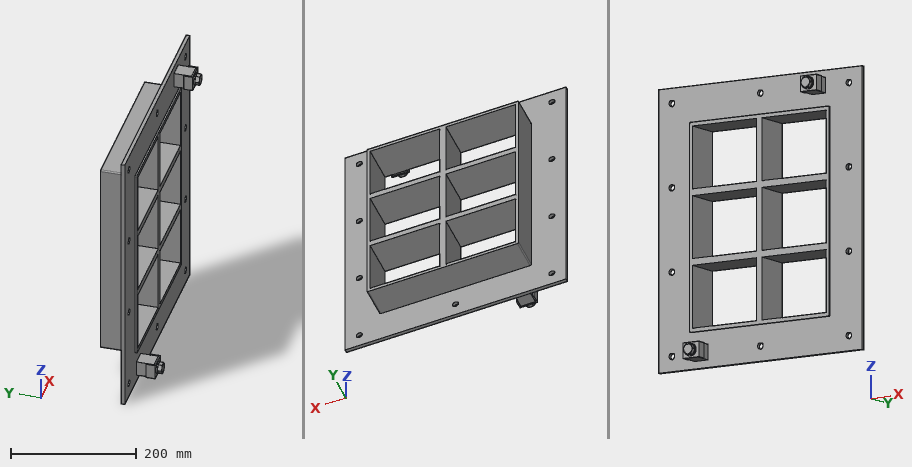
import cadquery as cq
import math

PLATE_WIDTH = 383.0
PLATE_HEIGHT = 459.0
PLATE_THICKNESS = 6.0
EDGE_MARGIN = 25.0
PLATE_HOLE_DIAMETER = 10.0
HOLE_COLUMNS = 3
HOLE_ROWS = 4
HOLE_X = PLATE_WIDTH / 2 - EDGE_MARGIN
HOLE_Z = PLATE_HEIGHT / 2 - EDGE_MARGIN

FRAME_WIDTH = 262.5
FRAME_HEIGHT = 340.0
FRAME_DEPTH = 60.0
FRAME_FRONT_LIP = 3.0
FRAME_CORNER_RADIUS = 2.05
FRAME_SIDE_WALL = 5.5
FRAME_END_WALL = 6.5
DIVIDER_THICKNESS = 11.0
WINDOW_COLUMNS = 2
WINDOW_ROWS = 3
FRAME_BACK_Y = FRAME_DEPTH - FRAME_FRONT_LIP

CLAMP_X = 110.5
CLAMP_POSITIONS = [(CLAMP_X, HOLE_Z), (-CLAMP_X, -HOLE_Z)]
BOLT_DIAMETER = 10.0
CLEARANCE_DIAMETER = 11.0
BLOCK_SIZE = 25.2
CAP_THICKNESS = 2.52
CAP_LEG_LENGTH = 15.0
CAP_WIDTH = BLOCK_SIZE + 2 * CAP_THICKNESS
WASHER_DIAMETER = 20.0
WASHER_THICKNESS = 2.05
HEAD_SIDES = 6
HEAD_ACROSS_FLATS = 16.0
HEAD_HEIGHT = 7.0
HEAD_FACE_DIAMETER = HEAD_ACROSS_FLATS
HEAD_CHAMFER_ANGLE = math.radians(30)
HEAD_ACROSS_CORNERS = HEAD_ACROSS_FLATS / math.cos(math.pi / HEAD_SIDES)
HEAD_CHAMFER_WIDTH = (HEAD_ACROSS_CORNERS - HEAD_FACE_DIAMETER) / 2
HEAD_CHAMFER_DEPTH = HEAD_CHAMFER_WIDTH * math.tan(HEAD_CHAMFER_ANGLE)
TOTAL_DEPTH = 97.8

HEAD_FRONT = TOTAL_DEPTH - FRAME_BACK_Y
WASHER_FRONT = HEAD_FRONT - HEAD_HEIGHT
CAP_FRONT = WASHER_FRONT - WASHER_THICKNESS
BLOCK_LENGTH = CAP_FRONT - CAP_THICKNESS


def sketch_plane(distance):
    """XZ workplane at a distance in front of the plate; it extrudes toward -Y."""
    return cq.Workplane("XZ", origin=(0, -distance, 0))


def spread(count, pitch):
    """Evenly spaced coordinates centred on zero."""
    return [(index - (count - 1) / 2) * pitch for index in range(count)]


def mounting_hole_points():
    """Hole centres around the border of the plate."""
    columns = spread(HOLE_COLUMNS, 2 * HOLE_X / (HOLE_COLUMNS - 1))
    rows = spread(HOLE_ROWS, 2 * HOLE_Z / (HOLE_ROWS - 1))
    side_holes = [(x, z) for x in (columns[0], columns[-1]) for z in rows]
    middle_holes = [(x, z) for x in columns[1:-1] for z in (rows[0], rows[-1])]
    return side_holes + middle_holes


def make_housing():
    """Plate with a proud window frame, divided windows and mounting holes."""
    plate = sketch_plane(-PLATE_THICKNESS).rect(PLATE_WIDTH, PLATE_HEIGHT).extrude(PLATE_THICKNESS)
    holes = (
        sketch_plane(-PLATE_THICKNESS)
        .pushPoints(mounting_hole_points())
        .circle(PLATE_HOLE_DIAMETER / 2)
        .extrude(PLATE_THICKNESS)
    )
    frame = (
        sketch_plane(-FRAME_BACK_Y)
        .rect(FRAME_WIDTH, FRAME_HEIGHT)
        .extrude(FRAME_DEPTH)
        .edges("|Y")
        .fillet(FRAME_CORNER_RADIUS)
    )

    pitch_x = (FRAME_WIDTH - 2 * FRAME_SIDE_WALL + DIVIDER_THICKNESS) / WINDOW_COLUMNS
    pitch_z = (FRAME_HEIGHT - 2 * FRAME_END_WALL + DIVIDER_THICKNESS) / WINDOW_ROWS
    centres = [(x, z) for x in spread(WINDOW_COLUMNS, pitch_x) for z in spread(WINDOW_ROWS, pitch_z)]
    windows = (
        sketch_plane(-FRAME_BACK_Y)
        .pushPoints(centres)
        .rect(pitch_x - DIVIDER_THICKNESS, pitch_z - DIVIDER_THICKNESS)
        .extrude(FRAME_DEPTH)
    )
    return plate.cut(holes).union(frame).cut(windows)


def make_block(x, z):
    """Square spacer block on the plate, bored through for the bolt."""
    return (
        sketch_plane(0)
        .center(x, z)
        .rect(BLOCK_SIZE, BLOCK_SIZE)
        .circle(BOLT_DIAMETER / 2)
        .extrude(BLOCK_LENGTH)
    )


def make_cap(x, z):
    """U-shaped cap over the block end, with a leg on each X side of the block."""
    body = (
        sketch_plane(CAP_FRONT - CAP_LEG_LENGTH)
        .center(x, z)
        .rect(CAP_WIDTH, BLOCK_SIZE)
        .extrude(CAP_LEG_LENGTH)
    )
    channel = sketch_plane(0).center(x, z).rect(BLOCK_SIZE, BLOCK_SIZE).extrude(BLOCK_LENGTH)
    bolt_hole = sketch_plane(BLOCK_LENGTH).center(x, z).circle(CLEARANCE_DIAMETER / 2).extrude(CAP_THICKNESS)
    return body.cut(channel).cut(bolt_hole)


def make_washer(x, z):
    """Flat washer between the cap and the bolt head."""
    return (
        sketch_plane(CAP_FRONT)
        .center(x, z)
        .circle(WASHER_DIAMETER / 2)
        .circle(CLEARANCE_DIAMETER / 2)
        .extrude(WASHER_THICKNESS)
    )


def make_bolt(x, z):
    """Hexagon bolt whose shank reaches the plate; two head corners point along X.

    A conical chamfer rounds the corners of the head's front face.
    """
    head = (
        sketch_plane(WASHER_FRONT)
        .center(x, z)
        .polygon(HEAD_SIDES, HEAD_ACROSS_CORNERS)
        .extrude(HEAD_HEIGHT)
    )
    chamfered_disc = (
        sketch_plane(WASHER_FRONT)
        .center(x, z)
        .circle(HEAD_ACROSS_CORNERS / 2)
        .extrude(HEAD_HEIGHT)
        .faces("<Y")
        .chamfer(HEAD_CHAMFER_DEPTH, HEAD_CHAMFER_WIDTH)
    )
    shank = sketch_plane(0).center(x, z).circle(BOLT_DIAMETER / 2).extrude(WASHER_FRONT)
    return head.intersect(chamfered_disc).union(shank)


bodies = [make_housing().val()]
for clamp_x, clamp_z in CLAMP_POSITIONS:
    for make_body in (make_block, make_cap, make_washer, make_bolt):
        bodies.append(make_body(clamp_x, clamp_z).val())

result = cq.Compound.makeCompound(bodies)